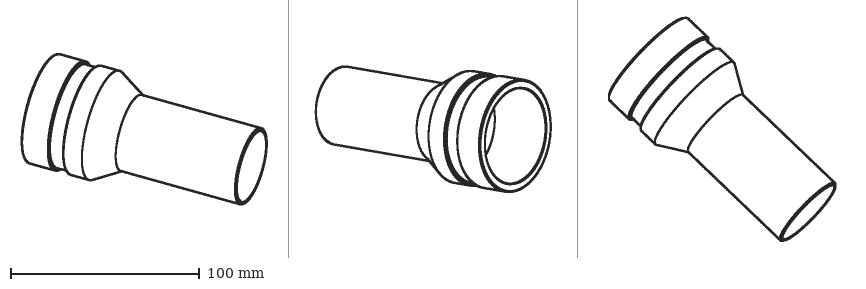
import cadquery as cq

total_length = 120.0
socket_radius = 60.2 / 2
socket_bore_radius = 51.0 / 2
tube_radius = 42.0 / 2
tube_bore_radius = 39.0 / 2
groove_radius = 57.1 / 2

groove_start = 16.0
groove_end = 23.9
cone_start = 35.0
cone_end = 50.6

socket_chamfer = 0.6
groove_chamfer = 0.6
bore_chamfer = 0.4
tube_chamfer = 0.5

outside = [
    (0, socket_radius - socket_chamfer),
    (socket_chamfer, socket_radius),
    (groove_start - groove_chamfer, socket_radius),
    (groove_start, socket_radius - groove_chamfer),
    (groove_start, groove_radius),
    (groove_end, groove_radius),
    (groove_end, socket_radius - groove_chamfer),
    (groove_end + groove_chamfer, socket_radius),
    (cone_start, socket_radius),
    (cone_end, tube_radius),
    (total_length - tube_chamfer, tube_radius),
    (total_length, tube_radius - tube_chamfer),
]
bore = [
    (total_length, tube_bore_radius),
    (cone_end, tube_bore_radius),
    (cone_start, socket_bore_radius),
    (bore_chamfer, socket_bore_radius),
    (0, socket_bore_radius + bore_chamfer),
]

half_section = cq.Workplane("XY").polyline(outside + bore).close()
result = half_section.revolve(360, (0, 0, 0), (1, 0, 0))